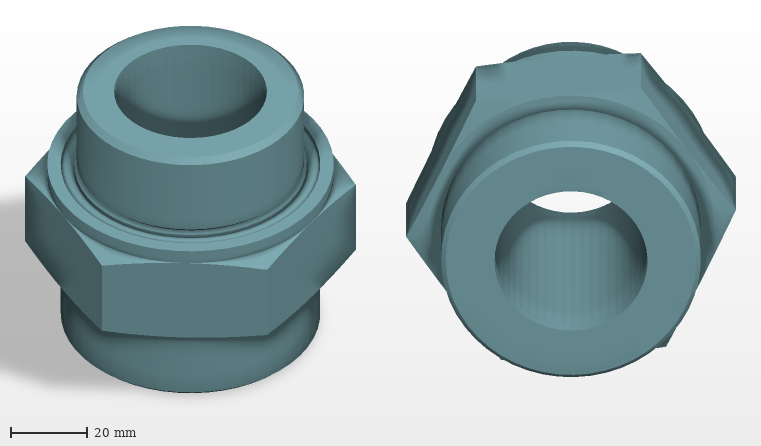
import cadquery as cq
import math

total_height = 74.5
hex_bottom = 22.0
hex_top = 46.6
flange_top = 50.5

across_corners = 86.6
across_flats = across_corners * math.cos(math.radians(30))
hex_chamfer_angle = 15.0

lower_diameter = 68.0
lower_end_chamfer = 1.2
lower_neck_chamfer = 1.0
upper_diameter = 59.6
upper_end_chamfer_width = 1.65
upper_end_chamfer_height = 1.5
upper_neck_chamfer = 1.3
bore_diameter = 40.0

seal_outer_diameter = 68.0
seal_inner_diameter = 61.0
seal_crest_depth = 0.1


def turned_body():
    """Revolve the two ends and the flange as one solid of revolution."""
    lower_r = lower_diameter / 2
    upper_r = upper_diameter / 2
    flange_r = across_flats / 2
    outline = [
        (0, 0),
        (lower_r - lower_end_chamfer, 0),
        (lower_r, lower_end_chamfer),
        (lower_r, hex_bottom - lower_neck_chamfer),
        (lower_r - lower_neck_chamfer, hex_bottom),
        (flange_r, hex_bottom),
        (flange_r, flange_top),
        (upper_r - upper_neck_chamfer, flange_top),
        (upper_r, flange_top + upper_neck_chamfer),
        (upper_r, total_height - upper_end_chamfer_height),
        (upper_r - upper_end_chamfer_width, total_height),
        (0, total_height),
    ]
    return cq.Workplane("XZ").polyline(outline).close().revolve(360, (0, 0), (0, 1))


def chamfered_hexagon():
    """Hexagonal prism whose corners are turned off conically at both ends."""
    flat_r = across_flats / 2
    corner_r = across_corners / 2
    drop = (corner_r - flat_r) * math.tan(math.radians(hex_chamfer_angle))
    prism = (
        cq.Workplane("XY", origin=(0, 0, hex_bottom))
        .polygon(6, across_corners)
        .extrude(hex_top - hex_bottom)
        .rotate((0, 0, 0), (0, 0, 1), 30)
    )
    envelope = (
        cq.Workplane("XZ")
        .polyline([
            (0, hex_bottom),
            (flat_r, hex_bottom),
            (corner_r, hex_bottom + drop),
            (corner_r, hex_top - drop),
            (flat_r, hex_top),
            (0, hex_top),
        ])
        .close()
        .revolve(360, (0, 0), (0, 1))
    )
    return prism.intersect(envelope)


def seal_relief():
    """Groove space above the half-round sealing ring that fills the groove."""
    inner_r = seal_inner_diameter / 2
    outer_r = seal_outer_diameter / 2
    section_r = (outer_r - inner_r) / 2
    crest_z = flange_top - seal_crest_depth
    ring_center_z = crest_z - section_r
    return (
        cq.Workplane("XZ")
        .moveTo(inner_r, flange_top)
        .lineTo(inner_r, ring_center_z)
        .threePointArc((inner_r + section_r, crest_z), (outer_r, ring_center_z))
        .lineTo(outer_r, flange_top)
        .close()
        .revolve(360, (0, 0), (0, 1))
    )


bore = cq.Workplane("XY").circle(bore_diameter / 2).extrude(total_height)

result = turned_body().union(chamfered_hexagon()).cut(seal_relief()).cut(bore)